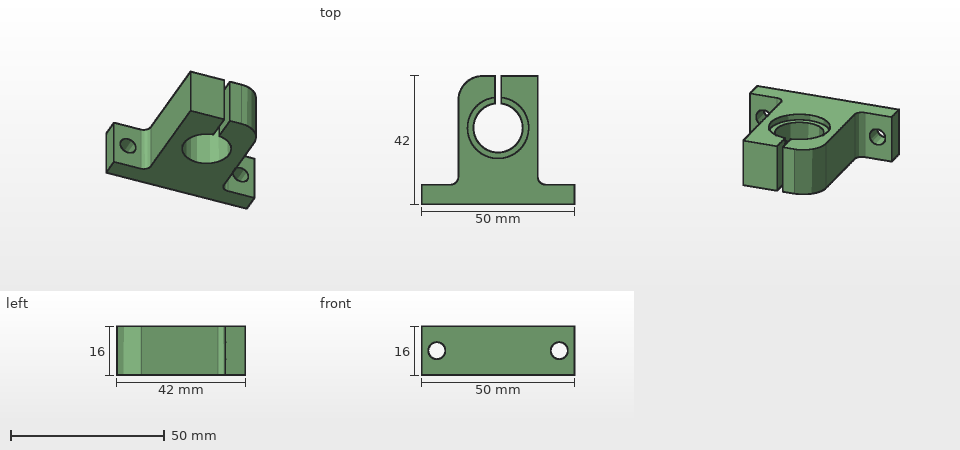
import cadquery as cq

base_length = 50.0
total_depth = 42.0
height = 16.0

base_thickness = 6.5
block_width = 26.0
root_fillet = 2.5
corner_radius = 8.0

bore_diameter = 16.0
bore_distance = 25.0
counterbore_diameter = 20.0
counterbore_depth = 2.0
slot_width = 2.0

hole_diameter = 5.5
hole_spacing = 40.0


def make_body():
    """T-shaped body with filleted roots and one rounded top corner."""
    base = cq.Workplane("XY").box(base_length, base_thickness, height, centered=(True, False, False))
    block = cq.Workplane("XY").box(block_width, total_depth, height, centered=(True, False, False))
    body = base.union(block)
    for side in (-1, 1):
        root = cq.selectors.NearestToPointSelector((side * block_width / 2, base_thickness, height / 2))
        body = body.edges(root).fillet(root_fillet)
    corner = cq.selectors.NearestToPointSelector((-block_width / 2, total_depth, height / 2))
    return body.edges(corner).fillet(corner_radius)


def cut_bore(body):
    """Stepped through bore, opened to the far end by the slot."""
    bore = cq.Workplane("XY").center(0, bore_distance).circle(bore_diameter / 2).extrude(height)
    counterbore = (
        cq.Workplane("XY", origin=(0, bore_distance, height - counterbore_depth))
        .circle(counterbore_diameter / 2)
        .extrude(counterbore_depth)
    )
    slot = (
        cq.Workplane("XY", origin=(0, bore_distance, 0))
        .box(slot_width, total_depth - bore_distance, height, centered=(True, False, False))
    )
    return body.cut(bore).cut(counterbore).cut(slot)


def cut_mounting_holes(body):
    """Two holes through the base flange along Y."""
    holes = (
        cq.Workplane("XZ", origin=(0, 0, height / 2))
        .pushPoints([(-hole_spacing / 2, 0), (hole_spacing / 2, 0)])
        .circle(hole_diameter / 2)
        .extrude(-base_thickness)
    )
    return body.cut(holes)


result = cut_mounting_holes(cut_bore(make_body()))